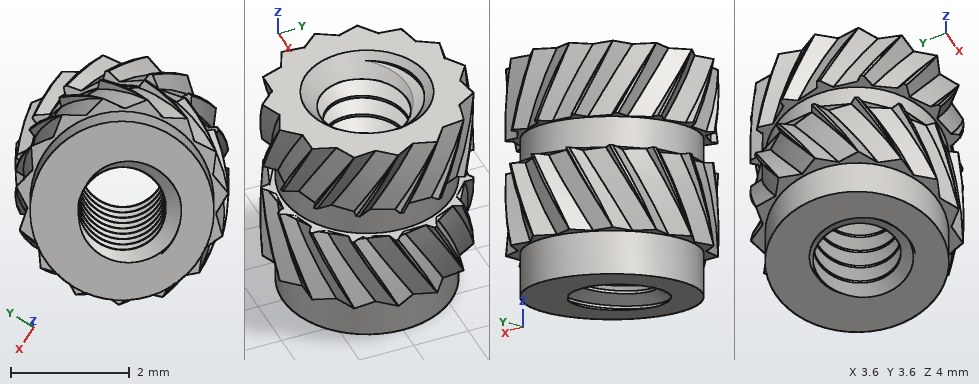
import cadquery as cq
import math

total_height = 4.0
body_radius = 1.55
knurl_radius = 1.8

lower_knurl_bottom = 0.75
lower_knurl_top = 2.18
upper_knurl_bottom = 2.74
upper_knurl_top = total_height

tooth_count = 15
tooth_step = 360 / tooth_count
valley_radius = 1.6
valley_angle = -90.0
knurl_lead = 16.7
lower_groove_web = 0.02
cutter_radius = 2.4

thread_major_radius = 1.0
thread_pitch = 0.4
thread_height = thread_pitch * math.sqrt(3) / 2
bore_radius = thread_major_radius - 0.75 * thread_height
bore_overshoot = 1.0
root_flat = thread_pitch / 8
flank_slope = math.tan(math.radians(30))
countersink_radius = 1.125
thread_overlap = 0.02
thread_turns = 11.3
thread_run_out = 30.0
thread_entry_angle = 158.0


def polar(radius, angle):
    radians = math.radians(angle)
    return (radius * math.cos(radians), radius * math.sin(radians))


def cylinder(radius, bottom, top):
    return cq.Workplane("XY").workplane(offset=bottom).circle(radius).extrude(top - bottom)


def helix_path(radius, start_angle, lead, height, left_handed):
    """Helix that rises from Z = 0 at the given angle."""
    helix = cq.Wire.makeHelix(lead, height, radius, lefthand=left_handed)
    return cq.Workplane(obj=helix.rotate(cq.Vector(0, 0, 0), cq.Vector(0, 0, 1), start_angle))


def knurl_groove(rise):
    """Cutter for one groove, swept up a left-handed helix from Z = 0.

    At Z = 0 neighbouring grooves meet in sharp teeth. The section barely turns with
    the helix, so higher up it leans against the radius and leaves narrow lands.
    """
    first_side = valley_angle - tooth_step / 2
    second_side = valley_angle + tooth_step / 2
    path = helix_path(valley_radius, valley_angle, knurl_lead, rise, left_handed=True)
    return (
        cq.Workplane("XY")
        .moveTo(*polar(valley_radius, valley_angle))
        .lineTo(*polar(knurl_radius, first_side))
        .lineTo(*polar(cutter_radius, first_side))
        .lineTo(*polar(cutter_radius, second_side))
        .lineTo(*polar(knurl_radius, second_side))
        .close()
        .sweep(path)
    )


def knurled_band(height, groove_rise):
    """Toothed disc standing on Z = 0, sharp at the bottom, with grooves up to groove_rise."""
    band = cylinder(knurl_radius, 0, height)
    groove = knurl_groove(groove_rise)
    for index in range(tooth_count):
        band = band.cut(groove.rotate((0, 0, 0), (0, 0, 1), index * tooth_step))
    return band


def outer_body():
    """Plain core with two knurled bands twisted in opposite directions."""
    lower_height = lower_knurl_top - lower_knurl_bottom
    upper_height = upper_knurl_top - upper_knurl_bottom
    lower_band = knurled_band(lower_height, lower_height - lower_groove_web)
    upper_band = knurled_band(upper_height, upper_height).mirror("XY")
    return (
        cylinder(body_radius, 0, total_height)
        .union(lower_band.translate((0, 0, lower_knurl_bottom)))
        .union(upper_band.translate((0, 0, upper_knurl_top)))
    )


def countersink():
    """45 degree cone that opens to its full radius at the top face."""
    return (
        cq.Workplane("XZ")
        .moveTo(0, total_height - countersink_radius)
        .lineTo(countersink_radius, total_height)
        .lineTo(0, total_height)
        .close()
        .revolve(360, (0, 0, 0), (0, 1, 0))
    )


def thread_groove():
    """Right-handed 60 degree groove with a flat root, running out at the bottom and the countersink."""
    inner_radius = bore_radius - thread_overlap
    root_half = root_flat / 2
    mouth_half = root_half + (thread_major_radius - inner_radius) * flank_slope
    section = (
        cq.Workplane("XZ")
        .moveTo(thread_major_radius, -root_half)
        .lineTo(thread_major_radius, root_half)
        .lineTo(inner_radius, mouth_half)
        .lineTo(inner_radius, -mouth_half)
        .close()
    )
    path = helix_path(thread_major_radius, 0, thread_pitch, thread_turns * thread_pitch, left_handed=False)
    groove = section.sweep(path, isFrenet=True)

    entry_z = total_height - (countersink_radius - thread_major_radius) + root_half
    end_angle = thread_entry_angle + thread_run_out
    end_z = entry_z + thread_pitch * thread_run_out / 360
    start_angle = end_angle - 360 * thread_turns
    start_z = end_z - thread_pitch * thread_turns
    return groove.rotate((0, 0, 0), (0, 0, 1), start_angle).translate((0, 0, start_z))


result = (
    outer_body()
    .cut(thread_groove())
    .cut(cylinder(bore_radius, -bore_overshoot, total_height + bore_overshoot))
    .cut(countersink())
    .solids()
)